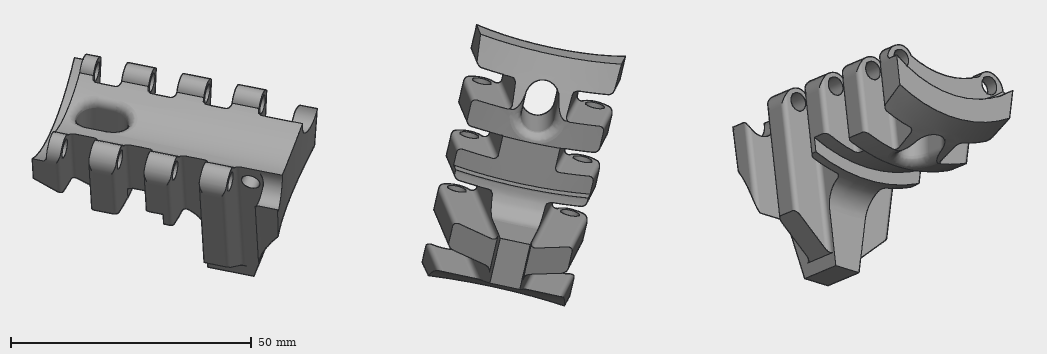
import cadquery as cq
import math


LENGTH = 53.2
WIDTH = 31.75
HEIGHT = 37.8
TOP_Z = -18.15
BOTTOM_Z = TOP_Z - HEIGHT
HALF_WIDTH = WIDTH / 2
MARGIN = 0.55

CRADLE_RADIUS = 21.9
LEDGE_RADIUS = 27.3
NOSE_RADIUS = 32.3
RECESS_RADIUS = 35.2
UNDERSIDE_RADIUS = 37.95

LEDGE_LENGTH = 3.05
LEDGE_CHAMFER = 0.55
CONE_LENGTH = 11.95
RECESS_START = 18.05
RECESS_LENGTH = 9.95
LEG_FRONT_X = 34.4
LEG_FILLET = 6.0

SIDE_ANGLE = 7.8
SIDE_SLOPE = math.tan(math.radians(SIDE_ANGLE))
FOOT_ANGLE = 40
FOOT_SLOPE = math.tan(math.radians(FOOT_ANGLE))
LEG_HALF_WIDTH = 3.2
FOOT_TOP_Z = TOP_Z - 27.2

HINGE_Y = 12.1
HINGE_HOLE_DIAMETER = 4.0
KNUCKLE_INNER_RADIUS = 3.05
KNUCKLE_OUTER_RADIUS = 4.05
KNUCKLE_OUTER_Y = HALF_WIDTH - KNUCKLE_OUTER_RADIUS
KNUCKLE_OUTER_Z = TOP_Z - KNUCKLE_OUTER_RADIUS
HINGE_Z = TOP_Z - KNUCKLE_INNER_RADIUS

GROOVE_COUNT = 4
GROOVE_PITCH = 11.95
GROOVE_WIDTH = 6.1
GROOVE_FILLET = 1.05
GROOVE_RUN_OUT = 2.65
FIRST_GROOVE_X = 9.05
LAST_GROOVE_X = FIRST_GROOVE_X + (GROOVE_COUNT - 1) * GROOVE_PITCH

PIN_DIAMETER = 4.0
PIN_Z = TOP_Z - 6.55

SLOT_X = 10.6
SLOT_LENGTH = 11.0
SLOT_WIDTH = 7.0
SLOT_FILLET = 2.0

END_ARC_RADIUS = 85.1
END_ARC_Y = 1.35
END_FOOT_X = 44.4
END_ANGLE = 15
END_BEND_Z = TOP_Z - 23.4
END_TOP_Z = TOP_Z - 13.3


def groove_floor_y(z):
    """Half-width of the leg, whose sides line up with the groove floors."""
    return LEG_HALF_WIDTH + (z - BOTTOM_Z) * SIDE_SLOPE


def on_circle(center_across, center_up, radius, degrees):
    angle = math.radians(degrees)
    return (center_across + radius * math.cos(angle), center_up + radius * math.sin(angle))


def knuckle_outer_point(degrees):
    return on_circle(KNUCKLE_OUTER_Y, KNUCKLE_OUTER_Z, KNUCKLE_OUTER_RADIUS, degrees)


def outer_side_y(z):
    """Half-width of the body below the knuckles, whose outer arcs run on into the sides."""
    top_y, top_z = knuckle_outer_point(-SIDE_ANGLE)
    return top_y - (top_z - z) * SIDE_SLOPE


def mirrored(point):
    return (-point[0], point[1])


def revolved(points):
    """Turn an outline of (x, radius) points about the X axis."""
    return cq.Workplane("XY").polyline(points).close().revolve(360, (0, 0, 0), (1, 0, 0))


def make_body():
    """Full cross-section with cradle, knuckles, tapered sides and leg."""
    distance = math.hypot(HINGE_Y, HINGE_Z)
    along = (distance**2 + CRADLE_RADIUS**2 - KNUCKLE_INNER_RADIUS**2) / (2 * distance)
    turn = math.degrees(math.acos(along / CRADLE_RADIUS))
    hinge_direction = math.degrees(math.atan2(HINGE_Z, HINGE_Y))
    meet = on_circle(0, 0, CRADLE_RADIUS, hinge_direction - turn)

    meet_direction = math.degrees(math.atan2(meet[1] - HINGE_Z, meet[0] - HINGE_Y))
    inner_mid = on_circle(HINGE_Y, HINGE_Z, KNUCKLE_INNER_RADIUS, (meet_direction + 90) / 2)
    crest = (HINGE_Y, TOP_Z)
    outer_mid = knuckle_outer_point(0)
    outer_end = knuckle_outer_point(-SIDE_ANGLE)

    foot_top_y = outer_side_y(FOOT_TOP_Z)
    foot_gap = foot_top_y - groove_floor_y(FOOT_TOP_Z)
    foot_drop = foot_gap * FOOT_SLOPE / (1 - SIDE_SLOPE * FOOT_SLOPE)
    foot_bottom_z = FOOT_TOP_Z - foot_drop
    side = [
        (foot_top_y, FOOT_TOP_Z),
        (groove_floor_y(foot_bottom_z), foot_bottom_z),
        (LEG_HALF_WIDTH, BOTTOM_Z),
    ]

    outline = (
        cq.Workplane("YZ")
        .moveTo(*mirrored(meet))
        .threePointArc((0, -CRADLE_RADIUS), meet)
        .threePointArc(inner_mid, crest)
        .threePointArc(outer_mid, outer_end)
    )
    for point in side:
        outline = outline.lineTo(*point)
    for point in reversed(side):
        outline = outline.lineTo(*mirrored(point))
    outline = (
        outline.lineTo(*mirrored(outer_end))
        .threePointArc(mirrored(outer_mid), mirrored(crest))
        .threePointArc(mirrored(inner_mid), mirrored(meet))
        .close()
    )
    return outline.extrude(LENGTH)


def underside_cutter():
    """Space below the round underside, blending into the front of the leg."""
    far_radius = -BOTTOM_Z + HALF_WIDTH
    blend_x = LEG_FRONT_X - LEG_FILLET
    blend_radius = UNDERSIDE_RADIUS + LEG_FILLET
    blend_mid = on_circle(blend_x, blend_radius, LEG_FILLET, -45)
    return (
        cq.Workplane("XY")
        .moveTo(-MARGIN, UNDERSIDE_RADIUS)
        .lineTo(blend_x, UNDERSIDE_RADIUS)
        .threePointArc(blend_mid, (LEG_FRONT_X, blend_radius))
        .lineTo(LEG_FRONT_X, far_radius)
        .lineTo(-MARGIN, far_radius)
        .close()
        .revolve(360, (0, 0, 0), (1, 0, 0))
    )


def cut_slot(body):
    """Vertical oblong hole, rounded at both mouths."""
    cutter = (
        cq.Workplane("XY", origin=(SLOT_X, 0, BOTTOM_Z))
        .slot2D(SLOT_LENGTH, SLOT_WIDTH)
        .extrude(HEIGHT)
    )
    x_reach = SLOT_LENGTH / 2 + MARGIN
    y_reach = SLOT_WIDTH / 2 + MARGIN
    around_slot = cq.selectors.BoxSelector(
        (SLOT_X - x_reach, -y_reach, BOTTOM_Z),
        (SLOT_X + x_reach, y_reach, TOP_Z),
    )
    return body.cut(cutter).edges(around_slot).edges("not |Z").fillet(SLOT_FILLET)


def nose_cutter():
    """Cone that thins the underside towards the nose."""
    flare = (UNDERSIDE_RADIUS - NOSE_RADIUS) / CONE_LENGTH
    tip_radius = NOSE_RADIUS - MARGIN * flare
    outside = UNDERSIDE_RADIUS + MARGIN
    end_x = CONE_LENGTH + MARGIN / flare
    return revolved([(-MARGIN, tip_radius), (end_x, outside), (-MARGIN, outside)])


def recess_cutter():
    """Shallow band across the underside, between the slot and the leg."""
    end_x = RECESS_START + RECESS_LENGTH
    outside = UNDERSIDE_RADIUS + MARGIN
    return revolved([
        (RECESS_START, RECESS_RADIUS),
        (end_x, RECESS_RADIUS),
        (end_x, outside),
        (RECESS_START, outside),
    ])


def ledge_cutter():
    """Step at the nose, with a sloped strip where it meets the first knuckles."""
    return revolved([
        (-MARGIN, 0),
        (LEDGE_LENGTH, 0),
        (LEDGE_LENGTH, LEDGE_RADIUS - LEDGE_CHAMFER),
        (LEDGE_LENGTH - LEDGE_CHAMFER, LEDGE_RADIUS),
        (-MARGIN, LEDGE_RADIUS),
    ])


def groove_cutter(center_x):
    """Groove down the +Y side, parallel to it, with round floor corners and rims."""
    angle = math.radians(SIDE_ANGLE)
    start_z = TOP_Z + GROOVE_RUN_OUT
    plane = cq.Plane(
        origin=(center_x, groove_floor_y(start_z), start_z),
        xDir=(1, 0, 0),
        normal=(0, -math.sin(angle), -math.cos(angle)),
    )
    depth = (outer_side_y(TOP_Z) - groove_floor_y(TOP_Z)) * math.cos(angle)
    half = GROOVE_WIDTH / 2
    rim = half + GROOVE_FILLET
    outside = -depth - 2 * MARGIN
    sweep_length = (HEIGHT + 2 * GROOVE_RUN_OUT) / math.cos(angle)

    floor_right = on_circle(half - GROOVE_FILLET, -GROOVE_FILLET, GROOVE_FILLET, 45)
    floor_left = mirrored(floor_right)
    rim_right = on_circle(rim, GROOVE_FILLET - depth, GROOVE_FILLET, 225)
    rim_left = mirrored(rim_right)
    return (
        cq.Workplane(plane)
        .moveTo(-half, -GROOVE_FILLET)
        .threePointArc(floor_left, (GROOVE_FILLET - half, 0))
        .lineTo(half - GROOVE_FILLET, 0)
        .threePointArc(floor_right, (half, -GROOVE_FILLET))
        .lineTo(half, GROOVE_FILLET - depth)
        .threePointArc(rim_right, (rim, -depth))
        .lineTo(rim, outside)
        .lineTo(-rim, outside)
        .lineTo(-rim, -depth)
        .threePointArc(rim_left, (-half, GROOVE_FILLET - depth))
        .close()
        .extrude(sweep_length)
    )


def scoop_cutter():
    """Half-round clearance under the +Y hinge line at the far end, open above."""
    inner_y = groove_floor_y(HINGE_Z)
    radius = HINGE_Y - inner_y
    outer_y = HINGE_Y + radius
    above_z = TOP_Z + MARGIN
    return (
        cq.Workplane("YZ", origin=(LAST_GROOVE_X, 0, 0))
        .moveTo(inner_y, HINGE_Z)
        .lineTo(groove_floor_y(above_z), above_z)
        .lineTo(outer_y, above_z)
        .lineTo(outer_y, HINGE_Z)
        .threePointArc((HINGE_Y, HINGE_Z - radius), (inner_y, HINGE_Z))
        .close()
        .extrude(LENGTH - LAST_GROOVE_X + MARGIN)
    )


def hinge_hole():
    start = cq.Workplane("YZ", origin=(-MARGIN, HINGE_Y, HINGE_Z))
    return start.circle(HINGE_HOLE_DIAMETER / 2).extrude(LENGTH + 2 * MARGIN)


def pin_hole():
    start = cq.Workplane("XZ", origin=(LAST_GROOVE_X, HALF_WIDTH, PIN_Z))
    return start.circle(PIN_DIAMETER / 2).extrude(WIDTH)


def end_arc_cutter():
    """Upright cylinder that hollows the far end; the -Y corner keeps the full length."""
    corner_y, _ = knuckle_outer_point(-SIDE_ANGLE)
    corner_offset = corner_y + END_ARC_Y
    center_x = LENGTH + math.sqrt(END_ARC_RADIUS**2 - corner_offset**2)
    base = cq.Workplane("XY", origin=(center_x, END_ARC_Y, BOTTOM_Z - MARGIN))
    return base.circle(END_ARC_RADIUS).extrude(HEIGHT + 2 * MARGIN)


def end_slope_cutter():
    """Space below the sloping far end: straight up the leg, then bending outwards."""
    slope = math.tan(math.radians(END_ANGLE))
    bend_x = END_FOOT_X + (END_BEND_Z - BOTTOM_Z) * slope
    outside = LENGTH + MARGIN
    return (
        cq.Workplane("XZ", origin=(0, HALF_WIDTH, 0))
        .moveTo(END_FOOT_X, BOTTOM_Z)
        .lineTo(bend_x, END_BEND_Z)
        .tangentArcPoint((LENGTH, END_TOP_Z), relative=False)
        .lineTo(outside, END_TOP_Z)
        .lineTo(outside, BOTTOM_Z)
        .close()
        .extrude(WIDTH)
    )


body = make_body().cut(underside_cutter())
body = cut_slot(body)
body = body.cut(nose_cutter()).cut(recess_cutter()).cut(ledge_cutter())

side_cutters = [hinge_hole()]
for index in range(GROOVE_COUNT):
    side_cutters.append(groove_cutter(FIRST_GROOVE_X + index * GROOVE_PITCH))
side_cutters.append(scoop_cutter())
for cutter in side_cutters:
    body = body.cut(cutter).cut(cutter.mirror("XZ"))

result = body.cut(pin_hole()).cut(end_arc_cutter()).cut(end_slope_cutter())